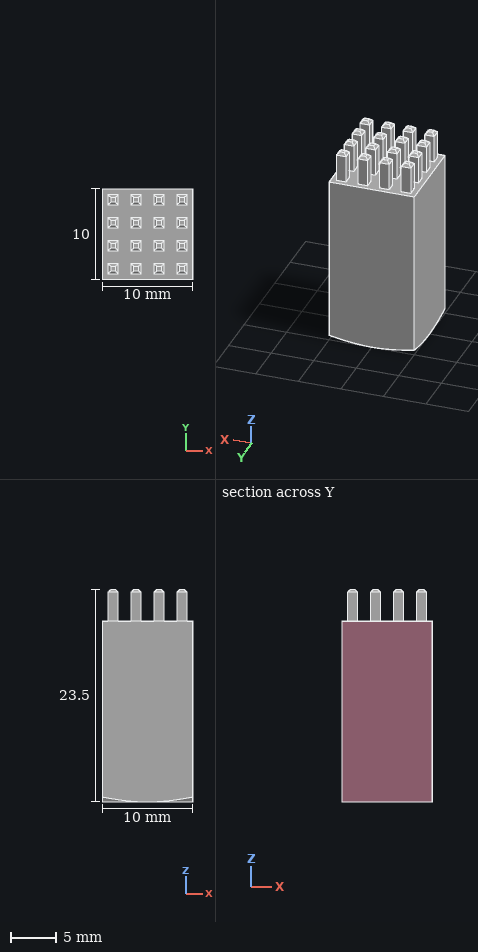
import cadquery as cq
import math

body_width = 10.0
overall_height = 23.5
pin_height = 3.5
pins_per_side = 4
pin_pitch = 2.54
pin_width = 1.13
pin_tip_chamfer = 0.3
bottom_bevel_angle = 15.0

body_height = overall_height - pin_height
flat_radius = body_width / 2
corner_radius = body_width / math.sqrt(2)
bevel_height = (corner_radius - flat_radius) * math.tan(math.radians(bottom_bevel_angle))


def make_bevel_envelope():
    """Round envelope with a conical lower end that trims the housing corners."""
    profile = [
        (0, 0),
        (flat_radius, 0),
        (corner_radius, bevel_height),
        (corner_radius, body_height),
        (0, body_height),
    ]
    return cq.Workplane("XZ").polyline(profile).close().revolve(360, (0, 0, 0), (0, 1, 0))


def make_body():
    """Square housing with conically bevelled bottom corners."""
    block = cq.Workplane("XY").rect(body_width, body_width).extrude(body_height)
    return block.intersect(make_bevel_envelope())


def make_pins():
    """Square grid of pins with bevelled tips, standing on the housing."""
    return (
        cq.Workplane("XY", origin=(0, 0, body_height))
        .rarray(pin_pitch, pin_pitch, pins_per_side, pins_per_side)
        .rect(pin_width, pin_width)
        .extrude(pin_height)
        .faces(">Z")
        .chamfer(pin_tip_chamfer)
    )


result = make_body().union(make_pins())